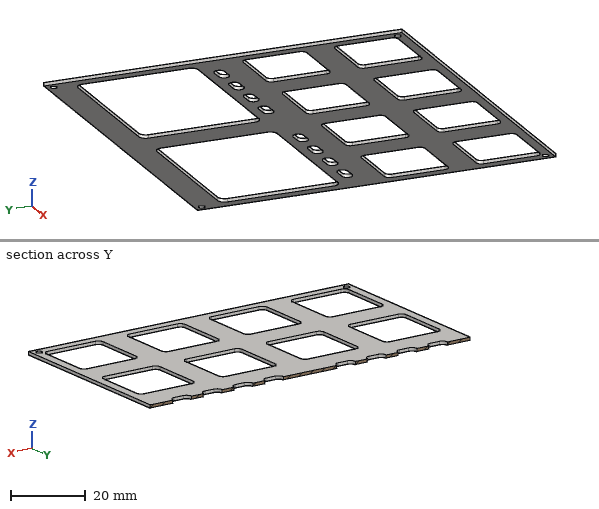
import cadquery as cq


def centered_positions(count, pitch):
    """Evenly spaced positions centred on zero."""
    middle_index = (count - 1) / 2
    return [(index - middle_index) * pitch for index in range(count)]


plate_side = 104.35
plate_thickness = 1.0

grid_count = 4
grid_pitch = 26.73
column_positions = centered_positions(grid_count, grid_pitch)
lower_row_positions = column_positions[: grid_count // 2]

key_opening_side = 18.5
key_corner_radius = 1.5

window_width = 45.0
window_height = 35.0
window_corner_radius = 2.0
window_positions_x = [-grid_pitch, grid_pitch]
window_position_y = grid_pitch

slot_length = 6.0
slot_width = 3.0
slot_pitch = 10.0
slots_per_window = 4
slot_position_y = 4.8

hole_diameter = 1.75
hole_spacing = 100.2


def rounded_openings(width, height, corner_radius, centers):
    """Cutters through the plate with rounded vertical edges."""
    return (
        cq.Workplane("XY")
        .pushPoints(centers)
        .rect(width, height)
        .extrude(plate_thickness)
        .edges("|Z")
        .fillet(corner_radius)
    )


def key_openings():
    centers = [(x, y) for x in column_positions for y in lower_row_positions]
    return rounded_openings(key_opening_side, key_opening_side, key_corner_radius, centers)


def display_windows():
    centers = [(x, window_position_y) for x in window_positions_x]
    return rounded_openings(window_width, window_height, window_corner_radius, centers)


def slots():
    offsets = centered_positions(slots_per_window, slot_pitch)
    centers = [(x + offset, slot_position_y) for x in window_positions_x for offset in offsets]
    return cq.Workplane("XY").pushPoints(centers).slot2D(slot_length, slot_width).extrude(plate_thickness)


def mounting_holes():
    return (
        cq.Workplane("XY")
        .rect(hole_spacing, hole_spacing, forConstruction=True)
        .vertices()
        .circle(hole_diameter / 2)
        .extrude(plate_thickness)
    )


plate = cq.Workplane("XY").rect(plate_side, plate_side).extrude(plate_thickness)
result = plate.cut(key_openings()).cut(display_windows()).cut(slots()).cut(mounting_holes())